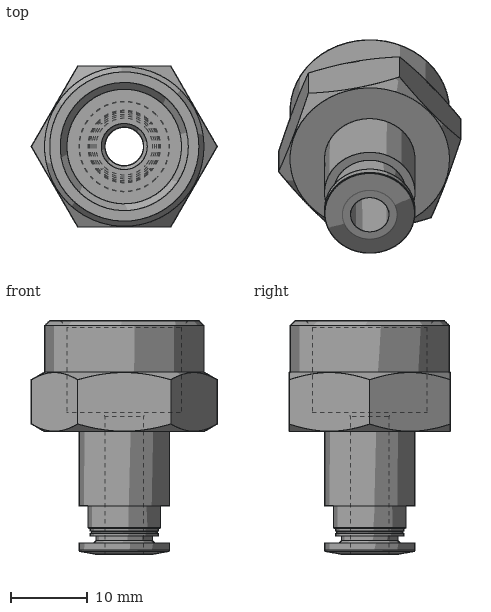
import cadquery as cq
import math

total_height = 30.5
hex_bottom = 16.0
hex_top = 23.8
body_bottom = 6.35
sleeve_bottom = 3.4
collar_bottom = 2.38
flange_top = 1.52

head_diameter = 20.8
body_diameter = 11.8
sleeve_diameter = 9.5
collar_diameter = 8.9
neck_diameter = 7.4
dome_face_diameter = 7.15
flange_diameter = body_diameter

hex_across_flats = 21.0
hex_cone_angle = 30.0

head_chamfer = 0.67
sleeve_chamfer = 0.12
groove_depth = 0.25
groove_top = 3.08
groove_root = 2.95
groove_bottom = 2.7
neck_flare = 0.27
flange_edge_height = 0.58
flange_chamfer_width = 0.05
flange_chamfer_height = 0.18

bore_diameter = 14.95
bore_depth = 12.0
countersink_diameter = 16.7
countersink_depth = 0.88
hole_diameter = 5.0
hole_mouth_diameter = 6.0


def revolve_profile(points):
    """Revolve an outline of (radius, height) points about the Z axis."""
    outline = cq.Workplane("XZ").polyline(points).close()
    return outline.revolve(360, (0, 0, 0), (0, 1, 0))


def make_turned_outside():
    """Stepped head, body, sleeve, grooved collar, neck and domed flange."""
    head_r = head_diameter / 2
    body_r = body_diameter / 2
    sleeve_r = sleeve_diameter / 2
    collar_r = collar_diameter / 2
    neck_r = neck_diameter / 2
    flange_r = flange_diameter / 2
    return revolve_profile([
        (0, 0),
        (dome_face_diameter / 2, 0),
        (flange_r - flange_chamfer_width, flange_edge_height - flange_chamfer_height),
        (flange_r, flange_edge_height),
        (flange_r, flange_top),
        (neck_r + neck_flare, flange_top),
        (neck_r, flange_top + neck_flare),
        (neck_r, collar_bottom),
        (collar_r, collar_bottom),
        (collar_r, groove_bottom),
        (collar_r - groove_depth, groove_root),
        (collar_r, groove_top),
        (collar_r, sleeve_bottom),
        (sleeve_r - sleeve_chamfer, sleeve_bottom),
        (sleeve_r, sleeve_bottom + sleeve_chamfer),
        (sleeve_r, body_bottom),
        (body_r, body_bottom),
        (body_r, hex_bottom),
        (head_r, hex_bottom),
        (head_r, total_height - head_chamfer),
        (head_r - head_chamfer, total_height),
        (0, total_height),
    ])


def make_hexagon():
    """Hexagon with its corners on X, turned conical at both ends."""
    across_corners = hex_across_flats / math.cos(math.radians(30))
    prism = (
        cq.Workplane("XY")
        .workplane(offset=hex_bottom)
        .polygon(6, across_corners)
        .extrude(hex_top - hex_bottom)
    )
    corner_r = across_corners / 2
    face_r = head_diameter / 2
    cone_height = (corner_r - face_r) * math.tan(math.radians(hex_cone_angle))
    envelope = revolve_profile([
        (0, hex_bottom),
        (face_r, hex_bottom),
        (corner_r, hex_bottom + cone_height),
        (corner_r, hex_top - cone_height),
        (face_r, hex_top),
        (0, hex_top),
    ])
    return prism.intersect(envelope)


def make_inside():
    """Countersunk blind bore above a through hole with a 45 degree mouth."""
    floor = total_height - bore_depth
    bore_r = bore_diameter / 2
    hole_r = hole_diameter / 2
    mouth_r = hole_mouth_diameter / 2
    return revolve_profile([
        (0, 0),
        (hole_r, 0),
        (hole_r, floor - (mouth_r - hole_r)),
        (mouth_r, floor),
        (bore_r, floor),
        (bore_r, total_height - countersink_depth),
        (countersink_diameter / 2, total_height),
        (0, total_height),
    ])


result = make_turned_outside().union(make_hexagon()).cut(make_inside())